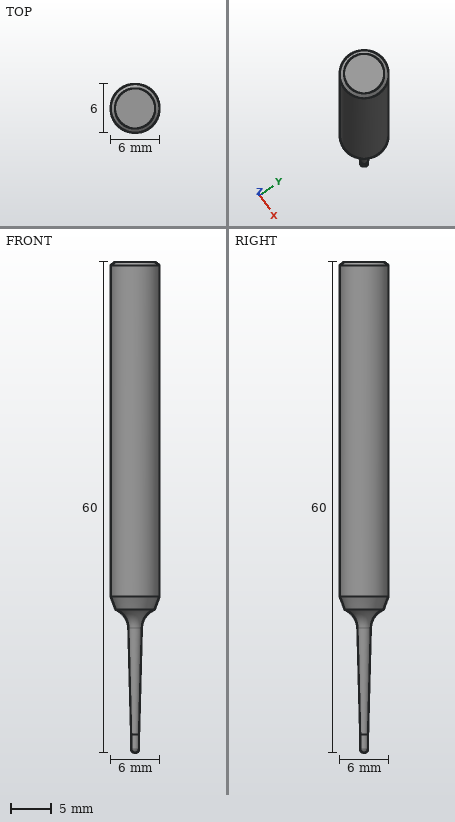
import cadquery as cq
import math

total_length = 60.0

head_radius = 0.5
head_top_z = 2.2

neck_top_radius = 0.85
neck_top_z = 15.25

flare_top_radius = 2.4
flare_top_z = 17.5

shank_radius = 3.0
shank_bottom_z = 19.15
end_chamfer_width = 0.55
end_chamfer_height = 0.4


def flare_midpoint():
    """Midpoint of the concave flare arc, which leaves the neck parallel to the axis."""
    rise = flare_top_z - neck_top_z
    spread = flare_top_radius - neck_top_radius
    arc_radius = (rise**2 + spread**2) / (2 * spread)
    half_angle = math.asin(rise / arc_radius) / 2
    radius = neck_top_radius + arc_radius * (1 - math.cos(half_angle))
    return radius, neck_top_z + arc_radius * math.sin(half_angle)


def revolve_about_z(profile):
    """Turn a closed radius-height profile around the Z axis."""
    return profile.close().revolve(360, (0, 0, 0), (0, 1, 0))


def make_cutting_head():
    """Straight cylinder ending in a hemispherical tip at the origin."""
    diagonal = head_radius * math.sqrt(0.5)
    profile = (
        cq.Workplane("XZ")
        .moveTo(0, 0)
        .threePointArc((diagonal, head_radius - diagonal), (head_radius, head_radius))
        .lineTo(head_radius, head_top_z)
        .lineTo(0, head_top_z)
    )
    return revolve_about_z(profile)


def make_shank():
    """Tapered neck, concave flare, conical shoulder and chamfered cylinder."""
    profile = (
        cq.Workplane("XZ")
        .moveTo(0, head_top_z)
        .lineTo(head_radius, head_top_z)
        .lineTo(neck_top_radius, neck_top_z)
        .threePointArc(flare_midpoint(), (flare_top_radius, flare_top_z))
        .lineTo(shank_radius, shank_bottom_z)
        .lineTo(shank_radius, total_length - end_chamfer_height)
        .lineTo(shank_radius - end_chamfer_width, total_length)
        .lineTo(0, total_length)
    )
    return revolve_about_z(profile)


cutting_head = make_cutting_head()
shank = make_shank()

result = cq.Compound.makeCompound([cutting_head.val(), shank.val()])